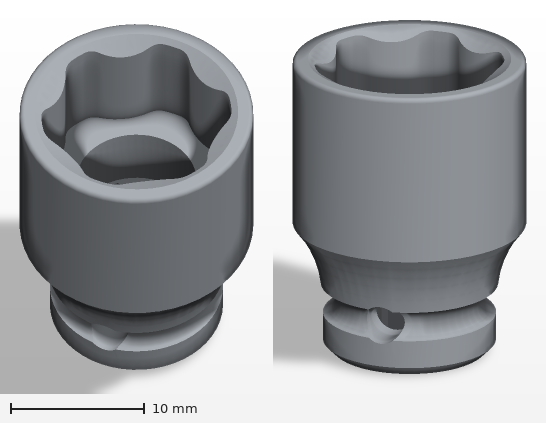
import cadquery as cq
import math

height = 23.0
body_diameter = 17.5
body_radius = body_diameter / 2
mouth_round = 0.35

collar_radius = 6.49
collar_chamfer = 0.74
groove_low_z = 2.88
groove_high_z = 5.2
groove_mid_z = (groove_low_z + groove_high_z) / 2
groove_floor_radius = 5.52
neck_radius = 6.65
flare_top_z = 10.0
flare_mid_radius = 7.34
flare_mid_z = 7.77

pin_hole_radius = 1.5
pin_hole_z = groove_mid_z

lobe_count = 6
socket_depth = 8.0
socket_floor_z = height - socket_depth
lobe_tip_radius = 7.13
lobe_corner_radius = 1.38
flank_inner_radius = 6.12
flank_arc_radius = 5.05

lead_in_radius = 7.61
lead_in_slope = math.radians(30)

drive_width = 6.45
drive_corner_chamfer = 0.4
bore_radius = 4.5
bore_bottom_z = flare_top_z
bore_cone_half_angle = math.radians(70)


def polar(radius, angle):
    return (radius * math.cos(angle), radius * math.sin(angle))


def make_body():
    return (
        cq.Workplane("XZ")
        .moveTo(0, 0)
        .lineTo(collar_radius - collar_chamfer, 0)
        .lineTo(collar_radius, collar_chamfer)
        .lineTo(collar_radius, groove_low_z)
        .threePointArc((groove_floor_radius, groove_mid_z), (neck_radius, groove_high_z))
        .threePointArc((flare_mid_radius, flare_mid_z), (body_radius, flare_top_z))
        .lineTo(body_radius, height - mouth_round)
        .radiusArc((body_radius - mouth_round, height), -mouth_round)
        .lineTo(0, height)
        .close()
        .revolve(360, (0, 0, 0), (0, 1, 0))
    )


def make_socket():
    """Six inward-bulging flanks joined to rounded lobes by tangent corner arcs."""
    flank_centre = flank_inner_radius + flank_arc_radius
    corner_centre = lobe_tip_radius - lobe_corner_radius
    centre_gap = flank_arc_radius + lobe_corner_radius

    corner_angle = math.acos(
        (flank_centre**2 + corner_centre**2 - centre_gap**2) / (2 * flank_centre * corner_centre)
    )
    corner_x, corner_y = polar(corner_centre, corner_angle)

    flank_share = flank_arc_radius / centre_gap
    touch_x = flank_centre + (corner_x - flank_centre) * flank_share
    touch_y = corner_y * flank_share
    touch_radius = math.hypot(touch_x, touch_y)
    touch_angle = math.atan2(touch_y, touch_x)

    touch_normal = math.atan2(touch_y - corner_y, touch_x - corner_x)
    middle_normal = (touch_normal + corner_angle) / 2
    middle_x = corner_x + lobe_corner_radius * math.cos(middle_normal)
    middle_y = corner_y + lobe_corner_radius * math.sin(middle_normal)
    middle_radius = math.hypot(middle_x, middle_y)
    middle_angle = math.atan2(middle_y, middle_x)

    pitch = 2 * math.pi / lobe_count
    outline = cq.Workplane("XY", origin=(0, 0, socket_floor_z))
    outline = outline.moveTo(*polar(touch_radius, -touch_angle))
    for index in range(lobe_count):
        flank = index * pitch
        next_flank = flank + pitch
        outline = (
            outline.threePointArc(polar(flank_inner_radius, flank), polar(touch_radius, flank + touch_angle))
            .threePointArc(
                polar(middle_radius, flank + middle_angle),
                polar(lobe_tip_radius, flank + corner_angle),
            )
            .threePointArc(
                polar(lobe_tip_radius, flank + pitch / 2),
                polar(lobe_tip_radius, next_flank - corner_angle),
            )
            .threePointArc(
                polar(middle_radius, next_flank - middle_angle),
                polar(touch_radius, next_flank - touch_angle),
            )
        )
    return outline.close().extrude(socket_depth)


def make_cone(radius, top_z, depth):
    """Cone pointing down from a circle at top_z."""
    return cq.Workplane("XY").add(
        cq.Solid.makeCone(radius, 0, depth, pnt=cq.Vector(0, 0, top_z), dir=cq.Vector(0, 0, -1))
    )


def make_lead_in():
    return make_cone(lead_in_radius, height, lead_in_radius * math.tan(lead_in_slope))


def make_drive():
    return (
        cq.Workplane("XY")
        .rect(drive_width, drive_width)
        .extrude(bore_bottom_z)
        .edges("|Z")
        .chamfer(drive_corner_chamfer)
    )


def make_bore():
    cylinder = (
        cq.Workplane("XY", origin=(0, 0, bore_bottom_z))
        .circle(bore_radius)
        .extrude(socket_floor_z - bore_bottom_z)
    )
    cone_depth = bore_radius / math.tan(bore_cone_half_angle)
    return cylinder.union(make_cone(bore_radius, bore_bottom_z, cone_depth))


def make_pin_hole():
    return (
        cq.Workplane("XZ", origin=(0, 0, pin_hole_z))
        .circle(pin_hole_radius)
        .extrude(body_radius, both=True)
    )


result = make_body()
for cutter in (make_socket(), make_lead_in(), make_drive(), make_bore(), make_pin_hole()):
    result = result.cut(cutter)